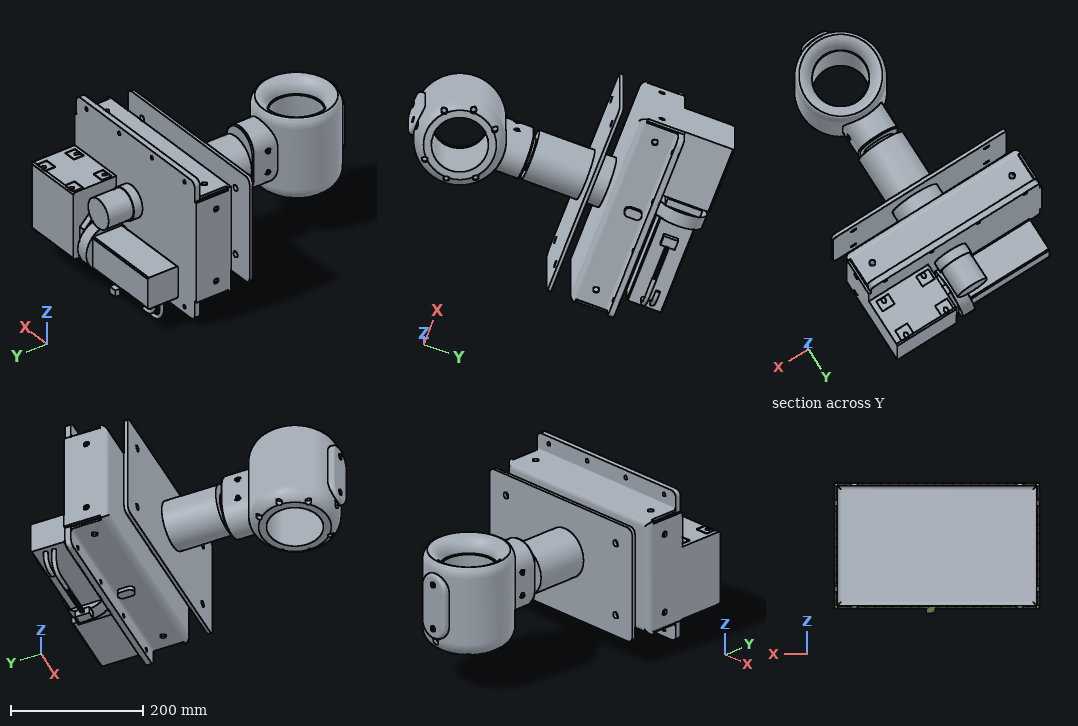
import cadquery as cq
import math


box_width = 310.0
box_height = 190.0
box_depth = 71.0
sheet = 4.0
sheet_gap = 1.0
bend_radius = 11.0
inner_bend_radius = bend_radius - sheet
bend_end = bend_radius - box_depth
flange_width = box_width - 2 * sheet
cover_width = flange_width - 2 * sheet_gap
flange_height = 250.0
flange_thickness = 10.0
flange_corner = 10.0
flange_fillet = 4.0
flange_hole_dia = 6.0
flange_hole_count = 4
flange_hole_span = 250.0
flange_hole_z = 112.5
cover_hole_dia = 9.0
cover_hole_y = -37.5
top_hole_x = 125.0
side_hole_z = 65.0
panel_height = box_height - 2 * (sheet + sheet_gap)

plate_front = -106.0
plate_thickness = 6.0
plate_corner = 10.0
plate_hole_dia = 10.0
plate_hole_x = 119.0
plate_hole_z = 60.0

axis_x = 9.5
axis_z = 8.0
tube_dia = 80.0
tube_end = -195.5
neck_dia = 51.0
collar_rear = -201.7
collar_width = 70.0
collar_height = 110.0
collar_chamfer = 2.0
collar_seat_dia = 11.0
collar_screw_dia = 6.0
collar_screw_head = 1.5
collar_screw_y = -230.0
collar_screw_offset = 18.0

ring_y = -309.0
ring_radius = 70.2
ring_top = 79.0
ring_bottom = -71.0
wall_top = 63.0
wall_bottom = -47.5
shoulder_radius = 66.5
shoulder_z = 76.0
top_rim_radius = 63.0
rim_round = 4.0
bottom_rim_radius = 55.0
bore_radius = 43.0
bell_depth = 26.5
bore_groove_width = 2.0
bore_groove_depth = 1.0
drain_dia = 9.0
drain_circle = 58.0
drain_depth = 8.0
drain_angles = (0, 45, 135, 180, 225, 315)
notch_width = 11.0
notch_length = 9.5
notch_depth = 8.0

cap_front = -385.0
cap_width = 50.0
cap_height = 108.0
cap_edge = 5.5
cap_root = 25.0
cap_screw_dia = 9.0
cap_screw_recess = 1.0
cap_screw_socket = 5.0
cap_screw_socket_depth = 2.5
cap_screw_offset = 36.5

hub_dia = 55.5
hub_length = 16.0
shaft_z = 8.6
shaft_dia = 52.0
shaft_end = 62.5

gearbox_rear = 80.42
gearbox_left = 49.0
gearbox_right = box_width / 2
gearbox_top = 32.0
gearbox_bottom = -89.0
gearbox_chamfer = 3.0
foot_width = 21.5
foot_length = 18.0
foot_recess = 1.0
foot_slot_width = 6.0
foot_slot_length = 8.5
foot_slot_depth = 5.0
foot_x = (63.5, 135.0)
foot_front = 6.0
motor_y = gearbox_rear / 2
motor_z = -63.0
motor_left = -125.0
motor_size = 57.0
motor_chamfer = 2.0
motor_flange_dia = gearbox_rear
motor_flange_left = 16.0
motor_flange_right = 37.5
adapter_half_width = 28.0
adapter_top = -13.0
adapter_bottom = -95.0
adapter_top_half = 7.5

cable_dia = 7.0
cable_x = -114.0
signal_cable_y = 34.6
power_cable_y = 48.5
signal_bend_start = -111.0
power_bend_start = -96.5
signal_bend = 20.0
power_bend = 19.0
sleeve_end = -66.0
wire_dia = 1.8
wire_rows = (-1.3, 1.3)
wire_columns = (-2.0, 0.0, 2.0)
connector_left = -11.0
connector_right = 4.0
connector_width = 23.0
connector_top = -125.5
connector_bottom = -137.72

socket_width = 14.6
socket_length = 27.5
socket_height = 7.3
socket_y = -28.8


def block(x0, x1, y0, y1, z0, z1):
    """Block between the given limits along each axis."""
    box = cq.Workplane("XY").box(x1 - x0, y1 - y0, z1 - z0, centered=False)
    return box.translate((x0, y0, z0))


def rod(x, z, dia, y_rear, y_front):
    """Cylinder along Y."""
    plane = cq.Workplane("XZ", origin=(x, y_rear, z))
    return plane.circle(dia / 2).extrude(y_rear - y_front)


def upright_slot(width, height, y_rear, y_front):
    """Stadium-shaped bar along Y, long side upright, on the main axis."""
    plane = cq.Workplane("XZ", origin=(axis_x, y_rear, axis_z))
    return plane.slot2D(height, width, 90).extrude(y_rear - y_front)


def make_flange_plate():
    plate = cq.Workplane("XY").box(flange_width, flange_thickness, flange_height)
    plate = plate.edges("|Y").fillet(flange_corner)
    return plate.translate((0, -flange_thickness / 2, 0))


def make_cover():
    """Back plate with two flanges and the top and bottom cover sheets."""
    half_width = cover_width / 2
    half_box = box_height / 2
    half_inside = half_box - sheet
    cover = block(-half_width, half_width, bend_end, 0, -half_box, half_box)
    for side in (-1, 1):
        cover = cover.union(make_flange_root(side))
    inside = block(-half_width, half_width, bend_end, -flange_thickness, -half_inside, half_inside)
    inside = inside.edges("|X and >Y").fillet(flange_fillet)
    return cover.cut(inside).union(make_flange_plate())


def make_flange_root(side):
    """Concave fillet between a flange and the cover sheet."""
    edge_z = box_height / 2
    root = block(
        -cover_width / 2, cover_width / 2, -flange_thickness - flange_fillet, -flange_thickness,
        edge_z, edge_z + flange_fillet,
    )
    hollow = (
        cq.Workplane("YZ")
        .center(-flange_thickness - flange_fillet, edge_z + flange_fillet)
        .circle(flange_fillet)
        .extrude(cover_width / 2, both=True)
    )
    root = root.cut(hollow)
    return root if side > 0 else root.mirror("XY")


def make_side_panels():
    half_panel = panel_height / 2
    half_box = box_width / 2
    left = block(-half_box, sheet - half_box, bend_end, 0, -half_panel, half_panel)
    return left.union(left.mirror("YZ"))


def mitred_box(width, height, front, radius):
    """Box up to the back plate with all four front edges rounded and mitred at the corners."""
    bar = block(-width / 2, width / 2, front, 0, -height / 2, height / 2)
    top_bends = bar.edges("|X and <Y").fillet(radius)
    side_bends = bar.edges("|Z and <Y").fillet(radius)
    return top_bends.intersect(side_bends)


def make_front_tray():
    """Front sheet with all four edges bent back as far as the end of the bends."""
    outer = mitred_box(box_width, box_height, -box_depth, bend_radius)
    inside = mitred_box(
        box_width - 2 * sheet, box_height - 2 * sheet, sheet - box_depth, inner_bend_radius,
    )
    bend_zone = block(
        -box_width / 2, box_width / 2, -box_depth, bend_end, -box_height / 2, box_height / 2,
    )
    return outer.cut(inside).intersect(bend_zone)


def drill_box(body):
    hole_step = flange_hole_span / (flange_hole_count - 1)
    flange_holes = (
        cq.Workplane("XZ")
        .rarray(hole_step, 2 * flange_hole_z, flange_hole_count, 2)
        .circle(flange_hole_dia / 2)
        .extrude(flange_thickness)
    )
    top_holes = (
        cq.Workplane("XY", origin=(0, cover_hole_y, -box_height / 2))
        .pushPoints([(-top_hole_x, 0), (top_hole_x, 0)])
        .circle(cover_hole_dia / 2)
        .extrude(box_height)
    )
    side_holes = (
        cq.Workplane("YZ", origin=(-box_width / 2, cover_hole_y, 0))
        .pushPoints([(0, -side_hole_z), (0, side_hole_z)])
        .circle(cover_hole_dia / 2)
        .extrude(box_width)
    )
    return body.cut(flange_holes).cut(top_holes).cut(side_holes)


def make_wall_plate():
    plate = cq.Workplane("XY").box(box_width, plate_thickness, box_height)
    plate = plate.edges("|Y").fillet(plate_corner)
    plate = plate.translate((0, plate_front + plate_thickness / 2, 0))
    holes = (
        cq.Workplane("XZ", origin=(0, plate_front + plate_thickness, 0))
        .rarray(2 * plate_hole_x, 2 * plate_hole_z, 2, 2)
        .circle(plate_hole_dia / 2)
        .extrude(plate_thickness)
    )
    return plate.cut(holes)


def make_tube():
    tube = rod(axis_x, axis_z, tube_dia, sheet - box_depth, tube_end)
    return tube.union(rod(axis_x, axis_z, neck_dia, tube_end, collar_rear))


def make_collar():
    """Stadium collar between neck and ring, with two screws on each flat side."""
    collar = upright_slot(collar_width, collar_height, collar_rear, ring_y)
    collar = collar.faces(">Y").chamfer(collar_chamfer)
    head_span = collar_width + 2 * collar_screw_head
    for offset in (-collar_screw_offset, collar_screw_offset):
        plane = cq.Workplane("YZ", origin=(axis_x, collar_screw_y, axis_z + offset))
        seats = plane.circle(collar_seat_dia / 2).extrude(collar_width / 2, both=True)
        heads = plane.circle(collar_screw_dia / 2).extrude(head_span / 2, both=True)
        collar = collar.union(seats).union(heads)
    return collar


def tangent_arc_radius(run, rise):
    """Radius of an arc that leaves an upright wall tangentially and ends run in, rise along."""
    return (run ** 2 + rise ** 2) / (2 * run)


def make_ring_body():
    """Ring turned about the vertical axis, solid in the middle."""
    bottom_arc = tangent_arc_radius(ring_radius - bottom_rim_radius, wall_bottom - ring_bottom)
    top_arc = tangent_arc_radius(ring_radius - shoulder_radius, shoulder_z - wall_top)
    profile = (
        cq.Workplane("XZ")
        .moveTo(0, ring_bottom)
        .lineTo(bottom_rim_radius, ring_bottom)
        .radiusArc((ring_radius, wall_bottom), -bottom_arc)
        .lineTo(ring_radius, wall_top)
        .radiusArc((shoulder_radius, shoulder_z), -top_arc)
        .radiusArc((top_rim_radius, ring_top), -rim_round)
        .lineTo(0, ring_top)
        .close()
    )
    return profile.revolve(360, (0, 0), (0, 1)).translate((axis_x, ring_y, 0))


def make_ring_bore():
    """Through bore with a rounded bell mouth at the top and a narrow groove below it."""
    throat = ring_top - bell_depth
    bell_arc = tangent_arc_radius(top_rim_radius - bore_radius, bell_depth)
    groove_radius = bore_radius + bore_groove_depth
    profile = (
        cq.Workplane("XZ")
        .moveTo(0, ring_bottom)
        .lineTo(bore_radius, ring_bottom)
        .lineTo(bore_radius, throat - bore_groove_width)
        .lineTo(groove_radius, throat - bore_groove_width)
        .lineTo(groove_radius, throat)
        .lineTo(bore_radius, throat)
        .radiusArc((top_rim_radius, ring_top), bell_arc)
        .lineTo(0, ring_top)
        .close()
    )
    return profile.revolve(360, (0, 0), (0, 1)).translate((axis_x, ring_y, 0))


def cut_ring_underside(ring):
    """Blind holes around the lower edge and the U notch below the cap."""
    for angle in drain_angles:
        x = axis_x + drain_circle * math.cos(math.radians(angle))
        y = ring_y + drain_circle * math.sin(math.radians(angle))
        plane = cq.Workplane("XY", origin=(x, y, ring_bottom))
        ring = ring.cut(plane.circle(drain_dia / 2).extrude(drain_depth))
    half = notch_width / 2
    notch = (
        cq.Workplane("XZ", origin=(axis_x, ring_y - ring_radius + notch_depth, wall_bottom))
        .moveTo(-half, 0)
        .lineTo(-half, half - notch_length)
        .threePointArc((0, -notch_length), (half, half - notch_length))
        .lineTo(half, 0)
        .close()
        .extrude(notch_depth)
    )
    return ring.cut(notch)


def make_cap():
    cap = upright_slot(cap_width, cap_height, cap_front + cap_root, cap_front)
    cap = cap.faces("<Y").edges().fillet(cap_edge)
    for offset in (-cap_screw_offset, cap_screw_offset):
        plane = cq.Workplane("XZ", origin=(axis_x, cap_front, axis_z + offset))
        cap = cap.cut(plane.circle(cap_screw_dia / 2).extrude(-cap_screw_recess))
        cap = cap.cut(plane.polygon(6, cap_screw_socket).extrude(-cap_screw_socket_depth))
    return cap


def make_rear_shaft():
    hub = rod(axis_x, axis_z, hub_dia, hub_length, -flange_thickness)
    return hub.union(rod(axis_x, shaft_z, shaft_dia, shaft_end, hub_length))


def make_foot_recess(x, y, slot_direction):
    """Shallow square recess at a foot, with a deeper slot opening along slot_direction in Y."""
    half = foot_width / 2
    recess = block(
        x - half, x + half, y - foot_length / 2, y + foot_length / 2,
        gearbox_top - foot_recess, gearbox_top,
    )
    edge_y = y + slot_direction * foot_length / 2
    end_y = edge_y - slot_direction * (foot_slot_length - foot_slot_width / 2)
    slot = (
        cq.Workplane("XY", origin=(x, (edge_y + end_y) / 2, gearbox_top - foot_slot_depth))
        .rect(foot_slot_width, abs(edge_y - end_y))
        .extrude(foot_slot_depth)
    )
    slot_end = (
        cq.Workplane("XY", origin=(x, end_y, gearbox_top - foot_slot_depth))
        .circle(foot_slot_width / 2)
        .extrude(foot_slot_depth)
    )
    return recess.union(slot).union(slot_end)


def make_gearbox():
    gearbox = block(gearbox_left, gearbox_right, 0, gearbox_rear, gearbox_bottom, gearbox_top)
    gearbox = gearbox.edges("|X and >Y").chamfer(gearbox_chamfer)
    rear_foot_y = gearbox_rear - gearbox_chamfer - foot_length / 2
    for x in foot_x:
        gearbox = gearbox.cut(make_foot_recess(x, foot_front + foot_length / 2, -1))
        gearbox = gearbox.cut(make_foot_recess(x, rear_foot_y, 1))
    return gearbox


def make_motor():
    """Square motor, round flange and faceted adapter in a row along X."""
    half = motor_size / 2
    motor = block(
        motor_left, motor_flange_left, motor_y - half, motor_y + half,
        motor_z - half, motor_z + half,
    )
    motor = motor.edges("|X").chamfer(motor_chamfer)
    flange = (
        cq.Workplane("YZ", origin=(motor_flange_left, motor_y, motor_z))
        .circle(motor_flange_dia / 2)
        .extrude(motor_flange_right - motor_flange_left)
    )
    facet = adapter_half_width - adapter_top_half
    adapter = block(
        motor_flange_right, gearbox_left,
        motor_y - adapter_half_width, motor_y + adapter_half_width, adapter_bottom, adapter_top,
    )
    adapter = adapter.edges("|X and >Z").chamfer(facet)
    return motor.union(flange).union(adapter)


def make_bent_cable(y, bend_start, bend, straight_end):
    """Cable that leaves the motor downwards and turns towards +X."""
    path = (
        cq.Workplane("XZ", origin=(0, y, 0))
        .moveTo(cable_x, motor_z)
        .lineTo(cable_x, bend_start)
        .radiusArc((cable_x + bend, bend_start - bend), -bend)
        .lineTo(straight_end, bend_start - bend)
    )
    section = cq.Workplane("XY", origin=(cable_x, y, motor_z)).circle(cable_dia / 2)
    return section.sweep(path)


def make_cables():
    run_z = signal_bend_start - signal_bend
    cables = make_bent_cable(signal_cable_y, signal_bend_start, signal_bend, sleeve_end)
    power_end = cable_x + power_bend + cable_dia
    cables = cables.union(make_bent_cable(power_cable_y, power_bend_start, power_bend, power_end))
    wires = (
        cq.Workplane("YZ", origin=(sleeve_end - cable_dia, signal_cable_y, run_z))
        .pushPoints([(y, z) for y in wire_columns for z in wire_rows])
        .circle(wire_dia / 2)
        .extrude(connector_left - sleeve_end + 2 * cable_dia)
    )
    connector = block(
        connector_left, connector_right,
        signal_cable_y - connector_width / 2, signal_cable_y + connector_width / 2,
        connector_bottom, connector_top,
    )
    return cables.union(wires).union(connector)


def make_socket():
    plane = cq.Workplane("XY", origin=(axis_x, socket_y, -box_height / 2))
    return plane.slot2D(socket_length, socket_width, 90).extrude(-socket_height)


housing = drill_box(make_cover().union(make_side_panels()).union(make_front_tray()))
arm = make_wall_plate().union(make_tube()).union(make_collar())
ring = cut_ring_underside(make_ring_body())
head = arm.union(ring).union(make_cap()).cut(make_ring_bore())
drive = make_rear_shaft().union(make_gearbox()).union(make_motor()).union(make_cables())
assembly = housing.union(head).union(drive).union(make_socket())
result = cq.Workplane(assembly.solids().val())